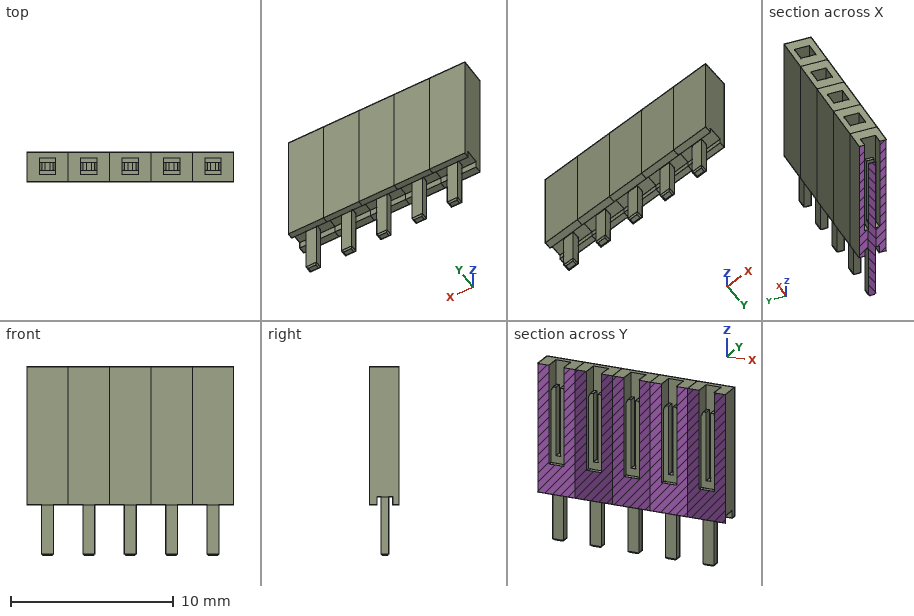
import cadquery as cq
import math

socket_count = 5
pitch = 2.54

housing_depth = 1.82
housing_height = 8.5
contact_offset_y = 0.04
cavity_size = 1.0
cavity_floor_z = 2.0
groove_width = 0.95
groove_height = 0.5

strip_thickness = 0.5
tail_width = 0.75
tail_length = 3.1
tail_chamfer = 0.1
bridge_height = 0.5
arm_gap = 0.3
arm_top_z = 7.0
tip_width = 0.2
tip_angle = 60

cavity_half = cavity_size / 2
tip_inner = arm_gap / 2
tip_outer = tip_inner + tip_width
bevel_bottom_z = arm_top_z - (cavity_half - tip_outer) * math.tan(math.radians(tip_angle))
bridge_top_z = cavity_floor_z + bridge_height


def make_housing():
    """One socket block with its cavity, tail slot and underside groove."""
    block = cq.Workplane("XY").box(pitch, housing_depth, housing_height, centered=(True, True, False))
    groove = (
        cq.Workplane("XY")
        .box(pitch, groove_width, groove_height, centered=(True, True, False))
        .translate((0, contact_offset_y, 0))
    )
    cavity = (
        cq.Workplane("XY", origin=(0, contact_offset_y, cavity_floor_z))
        .rect(cavity_size, cavity_size)
        .extrude(housing_height - cavity_floor_z)
    )
    tail_slot = (
        cq.Workplane("XY", origin=(0, contact_offset_y, 0))
        .rect(tail_width, strip_thickness)
        .extrude(cavity_floor_z)
    )
    return block.cut(groove).cut(cavity).cut(tail_slot)


def make_contact():
    """Chamfered tail below a fork of two arms whose tips are bevelled on the outside."""
    tail = (
        cq.Workplane("XY", origin=(0, contact_offset_y, -tail_length))
        .rect(tail_width, strip_thickness)
        .extrude(tail_length + cavity_floor_z)
        .faces("<Z")
        .chamfer(tail_chamfer)
    )
    right_outline = [
        (cavity_half, cavity_floor_z),
        (cavity_half, bevel_bottom_z),
        (tip_outer, arm_top_z),
        (tip_inner, arm_top_z),
        (tip_inner, bridge_top_z),
    ]
    left_outline = [(-x, z) for x, z in reversed(right_outline)]
    fork = (
        cq.Workplane("XZ", origin=(0, contact_offset_y, 0))
        .polyline(right_outline + left_outline)
        .close()
        .extrude(strip_thickness / 2, both=True)
    )
    return tail.union(fork)


housing = make_housing()
contact = make_contact()
bodies = []
for index in range(socket_count):
    place = cq.Vector((index - (socket_count - 1) / 2) * pitch, 0, 0)
    bodies.append(housing.val().translate(place))
    bodies.append(contact.val().translate(place))

result = cq.Compound.makeCompound(bodies)